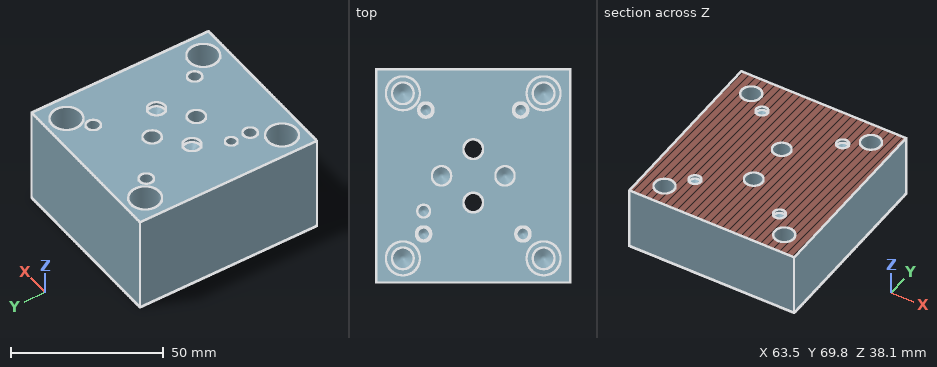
import cadquery as cq
import math

BLOCK_X = 63.5
BLOCK_Y = 69.85
BLOCK_Z = 38.1

MOUNT_SPACING_X = 46.0
MOUNT_SPACING_Y = 54.0
MOUNT_BORE_DIAMETER = 11.1
MOUNT_BORE_DEPTH = 14.0
MOUNT_DRILL_DIAMETER = 7.1
MOUNT_DRILL_DEPTH = 27.95

PORT_DIAMETER = 6.35
THROUGH_PORT_SPACING = 17.45
BLIND_PORT_SPACING = 20.75
BLIND_PORT_DEPTH = 1.8

BOLT_BACK_SPACING = 31.0
BOLT_FRONT_SPACING = 32.5
BOLT_BACK_Y = 21.5
BOLT_FRONT_Y = -19.0
BOLT_THREAD_DIAMETER = 5.0
BOLT_THREAD_DEPTH = 12.6
BOLT_DRILL_DIAMETER = 4.2
BOLT_DRILL_DEPTH = 15.4

PIN_DIAMETER = 4.2
PIN_DEPTH = 4.2
PIN_TO_BOLT_Y = 7.5

DRILL_POINT_ANGLE = 118.0


def cylinder_from_top(x, y, diameter, depth):
    """Flat-bottomed cutter reaching down from the top face."""
    return (
        cq.Workplane("XY")
        .workplane(offset=BLOCK_Z - depth)
        .center(x, y)
        .circle(diameter / 2)
        .extrude(depth)
    )


def drill_from_top(x, y, diameter, depth):
    """Drill cutter with a conical point below its full-diameter depth."""
    radius = diameter / 2
    point_height = radius / math.tan(math.radians(DRILL_POINT_ANGLE / 2))
    shoulder_z = BLOCK_Z - depth
    profile = (
        cq.Workplane("XZ")
        .moveTo(0, BLOCK_Z)
        .lineTo(radius, BLOCK_Z)
        .lineTo(radius, shoulder_z)
        .lineTo(0, shoulder_z - point_height)
        .close()
    )
    return profile.revolve(360, (0, 0, 0), (0, 1, 0)).translate((x, y, 0))


result = cq.Workplane("XY").box(BLOCK_X, BLOCK_Y, BLOCK_Z, centered=(True, True, False))

for side_x in (-1, 1):
    for side_y in (-1, 1):
        x = side_x * MOUNT_SPACING_X / 2
        y = side_y * MOUNT_SPACING_Y / 2
        result = result.cut(cylinder_from_top(x, y, MOUNT_BORE_DIAMETER, MOUNT_BORE_DEPTH))
        result = result.cut(drill_from_top(x, y, MOUNT_DRILL_DIAMETER, MOUNT_DRILL_DEPTH))

for side in (-1, 1):
    through_y = side * THROUGH_PORT_SPACING / 2
    blind_x = side * BLIND_PORT_SPACING / 2
    result = result.cut(cylinder_from_top(0, through_y, PORT_DIAMETER, BLOCK_Z))
    result = result.cut(drill_from_top(blind_x, 0, PORT_DIAMETER, BLIND_PORT_DEPTH))

for spacing, y in ((BOLT_BACK_SPACING, BOLT_BACK_Y), (BOLT_FRONT_SPACING, BOLT_FRONT_Y)):
    for side in (-1, 1):
        x = side * spacing / 2
        result = result.cut(cylinder_from_top(x, y, BOLT_THREAD_DIAMETER, BOLT_THREAD_DEPTH))
        result = result.cut(drill_from_top(x, y, BOLT_DRILL_DIAMETER, BOLT_DRILL_DEPTH))

pin_x = -BOLT_FRONT_SPACING / 2
pin_y = BOLT_FRONT_Y + PIN_TO_BOLT_Y
result = result.cut(drill_from_top(pin_x, pin_y, PIN_DIAMETER, PIN_DEPTH))